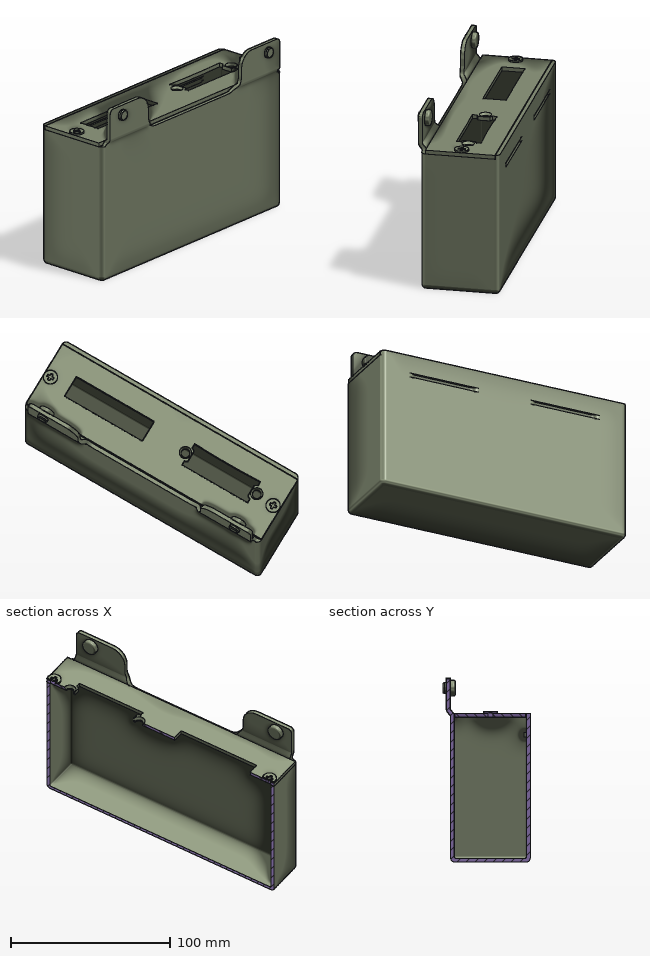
import cadquery as cq
import math

SHEET = 2.5
CORNER_RADIUS = 3.1
INSIDE_RADIUS = 1.0
BOX_WIDTH = 50.4
BOX_LENGTH = 172.0
BOX_HEIGHT = 93.7
TOTAL_WIDTH = 55.0
TOTAL_HEIGHT = 116.0
RIM_Z = BOX_HEIGHT - SHEET

STRIP_CENTER_Y = 42.5
STRIP_LENGTH = 48.0
STRIP_HEIGHT = 2.8
STRIP_DROP = 13.6
STRIP_DEPTH = 1.5
STRIP_ARC_RUN = 2.4

TAB_OUTER_Y = 81.4
TAB_LENGTH = 36.6
TAB_OFFSET = SHEET
TAB_RISE = 3.1
TAB_JOG_Z = BOX_HEIGHT - 1.5
TAB_BEND_RADIUS = CORNER_RADIUS - SHEET
TAB_CORNER_RADIUS = 3.0
TAB_ROUND_RADIUS = 10.0

STUD_DIAMETER = 7.0
STUD_HEAD_DIAMETER = 10.0
STUD_HEAD_HEIGHT = 3.1
STUD_HEAD_FILLET = 1.0
STUD_TIP_RUN = 0.9
STUD_TIP_INSET = 0.5
STUD_Y = 70.0
STUD_Z = TOTAL_HEIGHT - 6.4

LID_GAP = 0.3
OPENING_X = 23.7
CONNECTOR_WIDTH = 15.8
CONNECTOR_LENGTH = STRIP_LENGTH
CONNECTOR_Y = STRIP_CENTER_Y
CONNECTOR_BOW = 0.5
TONGUE_REACH = 2.0
TONGUE_ROOT_WIDTH = 9.8
TONGUE_TIP_WIDTH = 7.7
LUG_PITCH = 52.1
LUG_HOLE_DIAMETER = 5.5
LUG_SINK_DIAMETER = 7.7
LUG_SINK_DEPTH = 1.7
WINDOW_WIDTH = 14.8
WINDOW_LENGTH = 57.0
WINDOW_Y = -39.2

SCREW_X = BOX_WIDTH / 2
SCREW_Y = 81.4
SCREW_HEAD_DIAMETER = 9.0
SCREW_HEAD_HEIGHT = 1.0
SCREW_SHANK_DIAMETER = 4.1
CROSS_LENGTH = 4.6
CROSS_WIDTH = 1.4
CROSS_DEPTH = 0.7


def block(x0, x1, y0, y1, z0, z1):
    """Axis-aligned block between two opposite corners."""
    return cq.Workplane("XY").box(x1 - x0, y1 - y0, z1 - z0, centered=False).translate((x0, y0, z0))


def x_cylinder(diameter, x0, x1, y, z):
    """Cylinder along X from x0 to x1."""
    return cq.Workplane("YZ", origin=(x0, y, z)).circle(diameter / 2).extrude(x1 - x0)


def open_box():
    """Bent sheet box: one side wall full height, the other walls down at the lid seat."""
    half = BOX_LENGTH / 2
    outer = block(0, BOX_WIDTH, -half, half, 0, BOX_HEIGHT)
    outer = outer.edges("|Z or <Z").fillet(CORNER_RADIUS)
    inner = block(SHEET, BOX_WIDTH - SHEET, SHEET - half, half - SHEET, SHEET, BOX_HEIGHT + SHEET)
    inner = inner.edges("|Z or <Z").fillet(INSIDE_RADIUS)
    lowered = block(SHEET, BOX_WIDTH, -half, half, RIM_Z, BOX_HEIGHT)
    return outer.cut(inner).cut(lowered)


def strip_region(center_y, x_front):
    """Everything from the plane x_front to an S-ended floor pressed in by the strip depth."""
    sweep = 2 * math.atan(STRIP_DEPTH / (2 * STRIP_ARC_RUN))
    radius = STRIP_ARC_RUN / math.sin(sweep)
    mid_run = radius * math.sin(sweep / 2)
    mid_rise = radius * (1 - math.cos(sweep / 2))
    x_floor = x_front + STRIP_DEPTH
    x_half = x_front + STRIP_DEPTH / 2
    low = center_y - STRIP_LENGTH / 2
    high = center_y + STRIP_LENGTH / 2
    low_floor = low + 2 * STRIP_ARC_RUN
    high_floor = high - 2 * STRIP_ARC_RUN
    return (
        cq.Workplane("XY", origin=(0, 0, BOX_HEIGHT - STRIP_DROP - STRIP_HEIGHT / 2))
        .moveTo(x_front, low)
        .threePointArc((x_front + mid_rise, low + mid_run), (x_half, low + STRIP_ARC_RUN))
        .threePointArc((x_floor - mid_rise, low_floor - mid_run), (x_floor, low_floor))
        .lineTo(x_floor, high_floor)
        .threePointArc((x_floor - mid_rise, high_floor + mid_run), (x_half, high - STRIP_ARC_RUN))
        .threePointArc((x_front + mid_rise, high - mid_run), (x_front, high))
        .close()
        .extrude(STRIP_HEIGHT)
    )


def tab(side):
    """Mounting tab at the +Y (side = 1) or -Y (side = -1) end: jogged sheet cut to its outline."""
    jog_angle = math.atan(TAB_OFFSET / TAB_RISE)
    jog_shift = SHEET * math.tan(jog_angle / 2)
    x_in = BOX_WIDTH - SHEET
    jogged_sheet = (
        cq.Workplane("XZ", origin=(0, BOX_LENGTH / 2, 0))
        .polyline([
            (x_in, RIM_Z),
            (BOX_WIDTH, RIM_Z),
            (BOX_WIDTH, TAB_JOG_Z),
            (BOX_WIDTH + TAB_OFFSET, TAB_JOG_Z + TAB_RISE),
            (BOX_WIDTH + TAB_OFFSET, TOTAL_HEIGHT),
            (x_in + TAB_OFFSET, TOTAL_HEIGHT),
            (x_in + TAB_OFFSET, TAB_JOG_Z + TAB_RISE + jog_shift),
            (x_in, TAB_JOG_Z + jog_shift),
        ])
        .close()
        .extrude(BOX_LENGTH)
    )
    low_z = TAB_JOG_Z
    for x, z, radius in (
        (BOX_WIDTH, low_z, TAB_BEND_RADIUS),
        (BOX_WIDTH + TAB_OFFSET, low_z + TAB_RISE, CORNER_RADIUS),
        (x_in, low_z + jog_shift, CORNER_RADIUS),
        (x_in + TAB_OFFSET, low_z + TAB_RISE + jog_shift, TAB_BEND_RADIUS),
    ):
        bend_line = cq.selectors.NearestToPointSelector((x, 0, z))
        jogged_sheet = jogged_sheet.edges(bend_line).fillet(radius)
    outer = side * TAB_OUTER_Y
    inner = side * (TAB_OUTER_Y - TAB_LENGTH)
    small = TAB_CORNER_RADIUS
    large = TAB_ROUND_RADIUS
    outline = (
        cq.Workplane("YZ", origin=(x_in, 0, 0))
        .moveTo(outer + side * small, RIM_Z)
        .radiusArc((outer, RIM_Z + small), side * small)
        .lineTo(outer, TOTAL_HEIGHT - small)
        .radiusArc((outer - side * small, TOTAL_HEIGHT), -side * small)
        .lineTo(inner + side * large, TOTAL_HEIGHT)
        .radiusArc((inner, TOTAL_HEIGHT - large), -side * large)
        .lineTo(inner, RIM_Z + large)
        .radiusArc((inner - side * large, RIM_Z), side * large)
        .close()
        .extrude(SHEET + TAB_OFFSET)
    )
    return jogged_sheet.intersect(outline)


def make_housing():
    housing = open_box()
    for side in (-1, 1):
        strip_y = side * STRIP_CENTER_Y
        housing = housing.union(strip_region(strip_y, SHEET))
        housing = housing.cut(strip_region(strip_y, 0))
        housing = housing.union(tab(side))
        hole = x_cylinder(STUD_DIAMETER, BOX_WIDTH - SHEET, TOTAL_WIDTH, side * STUD_Y, STUD_Z)
        housing = housing.cut(hole)
    return housing


def connector_opening():
    """Opening with one bowed long edge and a tapered tongue reaching in from each end."""
    x_low = OPENING_X - CONNECTOR_WIDTH / 2
    x_high = OPENING_X + CONNECTOR_WIDTH / 2
    y_low = CONNECTOR_Y - CONNECTOR_LENGTH / 2
    y_high = CONNECTOR_Y + CONNECTOR_LENGTH / 2
    opening = (
        cq.Workplane("XY", origin=(0, 0, RIM_Z))
        .moveTo(x_low, y_low)
        .threePointArc((x_low + CONNECTOR_BOW, CONNECTOR_Y), (x_low, y_high))
        .lineTo(x_high, y_high)
        .lineTo(x_high, y_low)
        .close()
        .extrude(SHEET)
    )
    for root_y, inward in ((y_low, 1), (y_high, -1)):
        tip_y = root_y + inward * TONGUE_REACH
        tongue = (
            cq.Workplane("XY", origin=(0, 0, RIM_Z))
            .polyline([
                (OPENING_X - TONGUE_ROOT_WIDTH / 2, root_y),
                (OPENING_X + TONGUE_ROOT_WIDTH / 2, root_y),
                (OPENING_X + TONGUE_TIP_WIDTH / 2, tip_y),
                (OPENING_X - TONGUE_TIP_WIDTH / 2, tip_y),
            ])
            .close()
            .extrude(SHEET)
        )
        opening = opening.cut(tongue)
    return opening


def make_lid():
    margin = SHEET + LID_GAP
    half = BOX_LENGTH / 2
    lid = block(margin, BOX_WIDTH - margin, -half, half, RIM_Z, BOX_HEIGHT)
    lid = lid.cut(connector_opening())
    lid = lid.cut(block(
        OPENING_X - WINDOW_WIDTH / 2, OPENING_X + WINDOW_WIDTH / 2,
        WINDOW_Y - WINDOW_LENGTH / 2, WINDOW_Y + WINDOW_LENGTH / 2,
        RIM_Z, BOX_HEIGHT,
    ))
    top = cq.Workplane("XY", origin=(0, 0, BOX_HEIGHT))
    lug_points = [(OPENING_X, CONNECTOR_Y + end * LUG_PITCH / 2) for end in (-1, 1)]
    lid = lid.cut(top.pushPoints(lug_points).circle(LUG_HOLE_DIAMETER / 2).extrude(-SHEET))
    for x, y in lug_points:
        cone = cq.Solid.makeCone(
            LUG_SINK_DIAMETER / 2, LUG_HOLE_DIAMETER / 2, LUG_SINK_DEPTH,
            cq.Vector(x, y, BOX_HEIGHT), cq.Vector(0, 0, -1),
        )
        lid = lid.cut(cq.Workplane(cone))
    screw_points = [(SCREW_X, -SCREW_Y), (SCREW_X, SCREW_Y)]
    return lid.cut(top.pushPoints(screw_points).circle(SCREW_SHANK_DIAMETER / 2).extrude(-SHEET))


def make_lid_screw(y):
    """Flat-headed screw with a cross recess and a shank through the lid."""
    base = cq.Workplane("XY", origin=(SCREW_X, y, BOX_HEIGHT))
    screw = base.circle(SCREW_HEAD_DIAMETER / 2).extrude(SCREW_HEAD_HEIGHT)
    screw = screw.union(base.circle(SCREW_SHANK_DIAMETER / 2).extrude(-SHEET))
    head_top = base.workplane(offset=SCREW_HEAD_HEIGHT)
    for arm in ((CROSS_LENGTH, CROSS_WIDTH), (CROSS_WIDTH, CROSS_LENGTH)):
        screw = screw.cut(head_top.rect(*arm).extrude(-CROSS_DEPTH))
    return screw


def make_stud(y):
    """Round-headed stud through a tab, head on the box side and a tapered tip outside."""
    seat_x = BOX_WIDTH - SHEET + TAB_OFFSET
    head = x_cylinder(STUD_HEAD_DIAMETER, seat_x - STUD_HEAD_HEIGHT, seat_x, y, STUD_Z)
    head = head.faces("<X").edges().fillet(STUD_HEAD_FILLET)
    pin = x_cylinder(STUD_DIAMETER, seat_x, TOTAL_WIDTH, y, STUD_Z)
    pin = pin.faces(">X").chamfer(STUD_TIP_RUN, STUD_TIP_INSET)
    return head.union(pin)


housing = make_housing()
lid = make_lid()
lid_screws = [make_lid_screw(side * SCREW_Y).val() for side in (-1, 1)]
studs = [make_stud(side * STUD_Y).val() for side in (-1, 1)]

result = cq.Compound.makeCompound([housing.val(), lid.val(), *lid_screws, *studs])